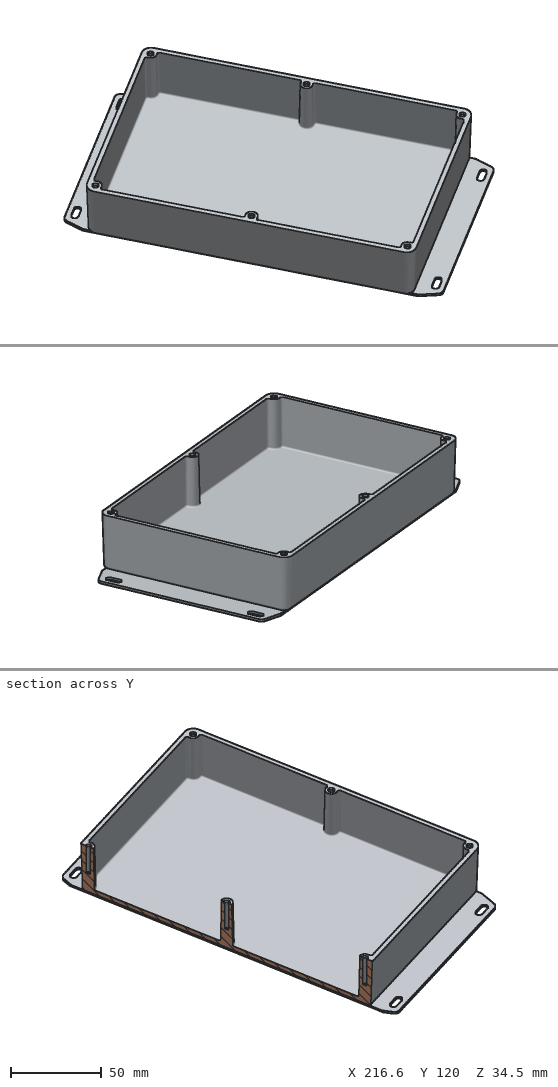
import cadquery as cq

plate_length = 216.6
plate_width = 113.5
plate_thickness = 1.5
plate_end_width = 104.5
ear_start_x = 96.0
plate_corner_radius = 3.2
slot_inset = 5.2
slot_spacing_y = 90.1
slot_length = 9.5
slot_width = 4.1
slot_angle = 90
slot_spacing_x = plate_length - 2 * slot_inset

total_height = 34.5
box_length = 188.3
box_width = 120.0
box_corner_radius = 5.5
wall = 2.8
floor_thickness = 3.0
outer_draft_angle = 1.7
inner_draft_angle = 1.2
bottom_fillet = 1.7
floor_fillet = 1.0

boss_inset = 5.0
boss_radius = 3.5
boss_root_fillet = 1.3
screw_hole_radius = 1.0
screw_hole_depth = 19.5
countersink_radius = 1.85
countersink_angle = 90

box_height = total_height - plate_thickness
cavity_depth = box_height - floor_thickness
boss_row_x = box_length / 2 - boss_inset
boss_row_y = box_width / 2 - boss_inset
boss_points = [(x, y) for x in (-boss_row_x, 0, boss_row_x) for y in (-boss_row_y, boss_row_y)]


def make_cavity():
    """Interior space of the box: a drafted pocket that narrows downward around the bosses."""
    cavity = (
        cq.Workplane("XY", origin=(0, 0, total_height))
        .rect(box_length - 2 * wall, box_width - 2 * wall)
        .extrude(-cavity_depth, taper=inner_draft_angle)
    )
    bosses = (
        cq.Workplane("XY", origin=(0, 0, total_height))
        .pushPoints(boss_points)
        .circle(boss_radius)
        .extrude(-cavity_depth, taper=-inner_draft_angle)
    )
    cavity = cavity.cut(bosses)
    root_edges = "not(%CIRCLE or |X or |Y)"
    return cavity.edges(root_edges).fillet(boss_root_fillet).faces("<Z").edges().fillet(floor_fillet)


def make_box():
    """Open-topped box with drafted walls and six screw bosses."""
    shell = (
        cq.Workplane("XY", origin=(0, 0, total_height))
        .sketch()
        .rect(box_length, box_width)
        .vertices()
        .fillet(box_corner_radius)
        .finalize()
        .extrude(-box_height, taper=outer_draft_angle)
        .faces("<Z")
        .edges()
        .fillet(bottom_fillet)
    )
    return (
        shell.cut(make_cavity())
        .faces(">Z")
        .workplane(origin=(0, 0, total_height))
        .pushPoints(boss_points)
        .cskHole(2 * screw_hole_radius, 2 * countersink_radius, countersink_angle, depth=screw_hole_depth)
    )


def make_plate():
    """Flat plate under the box whose two slotted ears narrow toward their ends."""
    half_length = plate_length / 2
    half_width = plate_width / 2
    half_end = plate_end_width / 2
    return (
        cq.Workplane("XY")
        .moveTo(-ear_start_x, half_width)
        .lineTo(ear_start_x, half_width)
        .lineTo(half_length, half_end)
        .lineTo(half_length, -half_end)
        .lineTo(ear_start_x, -half_width)
        .lineTo(-ear_start_x, -half_width)
        .lineTo(-half_length, -half_end)
        .lineTo(-half_length, half_end)
        .close()
        .extrude(plate_thickness)
        .edges("|Z and (<X or >X)")
        .fillet(plate_corner_radius)
        .faces(">Z")
        .workplane(origin=(0, 0, plate_thickness))
        .rect(slot_spacing_x, slot_spacing_y, forConstruction=True)
        .vertices()
        .slot2D(slot_length, slot_width, slot_angle)
        .cutThruAll()
    )


plate = make_plate()
box = make_box()

result = cq.Compound.makeCompound([plate.solids().val(), box.solids().val()])